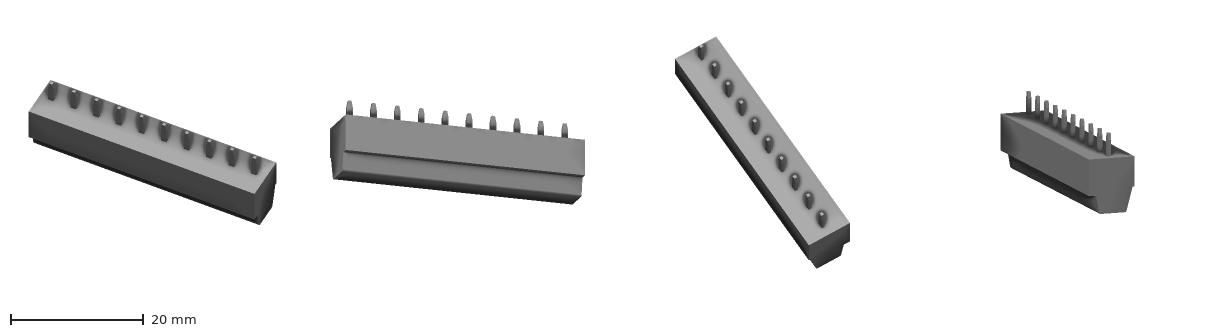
import cadquery as cq
import math

length = 38.1
depth = 7.3
housing_height = 8.5
back_wall_height = 4.6
front_wall_height = 5.65
back_ledge = 0.3
front_ledge = 1.1
back_taper_angle = 15.0
front_taper_angle = 10.0
bottom_edge_radius = 0.3

pin_count = 10
pin_height = 3.5
pin_width = 0.9
pin_thickness = 0.5
pin_tip_width = 0.5
pin_tip_height = 1.03
pin_back_offset = 3.45

pitch = length / pin_count
back_y = depth / 2
front_y = -depth / 2
pin_y = back_y - pin_back_offset


def taper_run(wall_height, angle):
    """Horizontal run of a sloped wall from its ledge down to the bottom."""
    return (housing_height - wall_height) * math.tan(math.radians(angle))


def make_housing():
    back_slope_y = back_y - back_ledge
    front_slope_y = front_y + front_ledge
    profile = [
        (front_y, housing_height),
        (back_y, housing_height),
        (back_y, housing_height - back_wall_height),
        (back_slope_y, housing_height - back_wall_height),
        (back_slope_y - taper_run(back_wall_height, back_taper_angle), 0),
        (front_slope_y + taper_run(front_wall_height, front_taper_angle), 0),
        (front_slope_y, housing_height - front_wall_height),
        (front_y, housing_height - front_wall_height),
    ]
    body = cq.Workplane("YZ", origin=(-length / 2, 0, 0)).polyline(profile).close().extrude(length)
    return body.faces("<Z").edges("|X").fillet(bottom_edge_radius)


def make_pin(center_x):
    shoulder_z = pin_height - pin_tip_height
    outline = [
        (-pin_width / 2, 0),
        (pin_width / 2, 0),
        (pin_width / 2, shoulder_z),
        (pin_tip_width / 2, pin_height),
        (-pin_tip_width / 2, pin_height),
        (-pin_width / 2, shoulder_z),
    ]
    blade = cq.Workplane("XZ").polyline(outline).close().extrude(pin_thickness / 2, both=True)
    return blade.translate((center_x, pin_y, housing_height))


result = make_housing()
for index in range(pin_count):
    result = result.union(make_pin((index + 0.5) * pitch - length / 2))